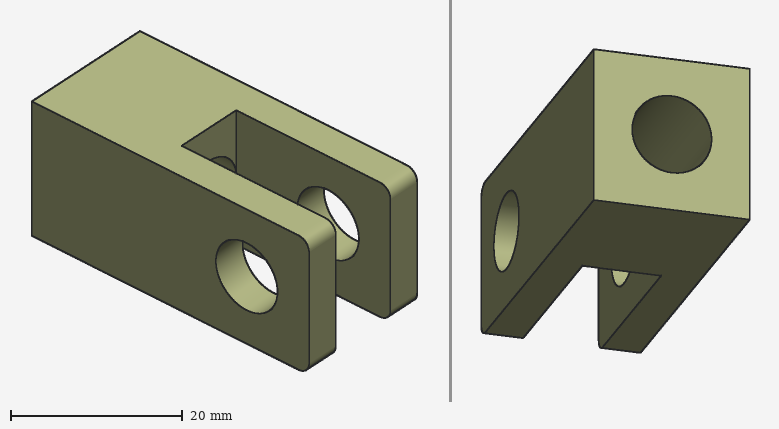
import cadquery as cq

length = 42.95
side = 19.05
slot_start = 19.05
slot_width = 9.6
pin_diameter = 9.55
pin_x = 33.25
bore_diameter = 9.7
tip_radius = 1.65


def square_bar():
    """Square bar centred on the X axis, with rounded upper and lower tip edges."""
    bar = cq.Workplane("XY").box(length, side, side, centered=(False, True, True))
    return bar.faces(">X").edges("|Y").fillet(tip_radius)


def fork_slot():
    """Full-height slot that opens through the +X end."""
    slot_length = length - slot_start
    slot = cq.Workplane("XY").box(slot_length, slot_width, side, centered=(False, True, True))
    return slot.translate((slot_start, 0, 0))


def pin_hole():
    """Cross hole along Y through both fork arms."""
    return cq.Workplane("XZ").center(pin_x, 0).circle(pin_diameter / 2).extrude(side / 2, both=True)


def shank_bore():
    """Axial bore from the shank face into the slot."""
    return cq.Workplane("YZ").circle(bore_diameter / 2).extrude(slot_start)


result = square_bar().cut(fork_slot()).cut(pin_hole()).cut(shank_bore())